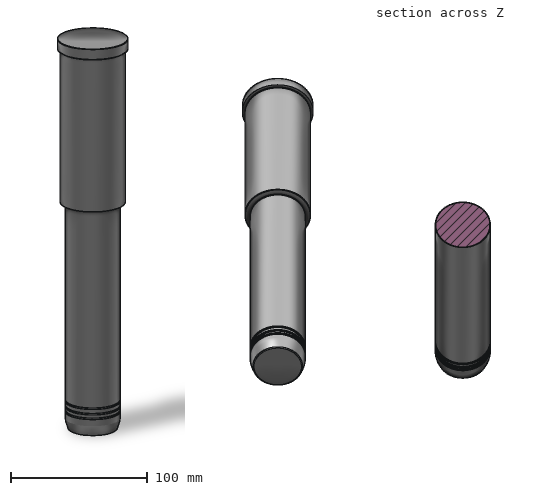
import cadquery as cq

total_length = 300.0
head_diameter = 52.0
head_thickness = 7.8
sleeve_diameter = 48.3
sleeve_bottom = 174.0
shaft_diameter = 40.5
edge_chamfer = 0.45

relief_width = 1.2
relief_depth = 0.3

nose_height = 8.0
tip_diameter = 36.0
nose_bulge = 0.3
tip_chamfer = 0.5

groove_bottoms = (13.2, 16.8, 21.0)
groove_width = 1.2
groove_depth = 0.5


def make_disc(diameter, bottom, top):
    """Cylinder on the Z axis between two heights."""
    return cq.Workplane("XY").workplane(offset=bottom).circle(diameter / 2).extrude(top - bottom)


def make_nose():
    """Revolved nose whose side is an outward-bulging arc."""
    tip_radius = tip_diameter / 2
    shaft_radius = shaft_diameter / 2
    arc_middle = ((tip_radius + shaft_radius) / 2 + nose_bulge, nose_height / 2)
    return (
        cq.Workplane("XZ")
        .lineTo(tip_radius, 0)
        .threePointArc(arc_middle, (shaft_radius, nose_height))
        .lineTo(0, nose_height)
        .close()
        .revolve(360, (0, 0), (0, 1))
    )


def make_ring(diameter, depth, bottom, top):
    """Ring of the given depth, used to cut a groove into a cylinder."""
    core = make_disc(diameter - 2 * depth, bottom, top)
    return make_disc(diameter, bottom, top).cut(core)


head_bottom = total_length - head_thickness
head = make_disc(head_diameter, head_bottom, total_length).faces(">Z").edges().chamfer(edge_chamfer)
sleeve = make_disc(sleeve_diameter, sleeve_bottom, head_bottom).faces("<Z").edges().chamfer(edge_chamfer)
shaft = make_disc(shaft_diameter, nose_height, sleeve_bottom)
nose = make_nose().faces("<Z").edges().chamfer(tip_chamfer)

for groove_bottom in groove_bottoms:
    shaft = shaft.cut(make_ring(shaft_diameter, groove_depth, groove_bottom, groove_bottom + groove_width))

shaft = shaft.cut(make_ring(shaft_diameter, relief_depth, sleeve_bottom - relief_width, sleeve_bottom))
sleeve = sleeve.cut(make_ring(sleeve_diameter, relief_depth, head_bottom - relief_width, head_bottom))

result = nose.union(shaft).union(sleeve).union(head)